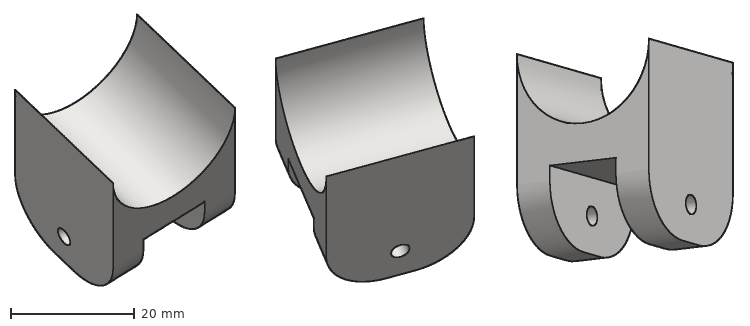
import cadquery as cq

width = 25.4
depth = 25.4
height = 31.75

cradle_radius = depth / 2

slot_width = depth / 2
slot_height = 12.7
corner_radius = 10.15

pin_diameter = 3.18
pin_height = 6.35


def make_body():
    """Block standing on Z = 0 with its lower corners rounded about Y."""
    block = cq.Workplane("XY").box(width, depth, height, centered=(True, True, False))
    return block.faces("<Z").edges("|Y").fillet(corner_radius)


def make_cradle_cut():
    return (
        cq.Workplane("YZ", origin=(-width / 2, 0, 0))
        .center(0, height)
        .circle(cradle_radius)
        .extrude(width)
    )


def make_slot_cut():
    return cq.Workplane("XY").box(width, slot_width, slot_height, centered=(True, True, False))


def make_pin_cut():
    return (
        cq.Workplane("XZ", origin=(0, depth / 2, 0))
        .center(0, pin_height)
        .circle(pin_diameter / 2)
        .extrude(depth)
    )


result = make_body().cut(make_cradle_cut()).cut(make_slot_cut()).cut(make_pin_cut())